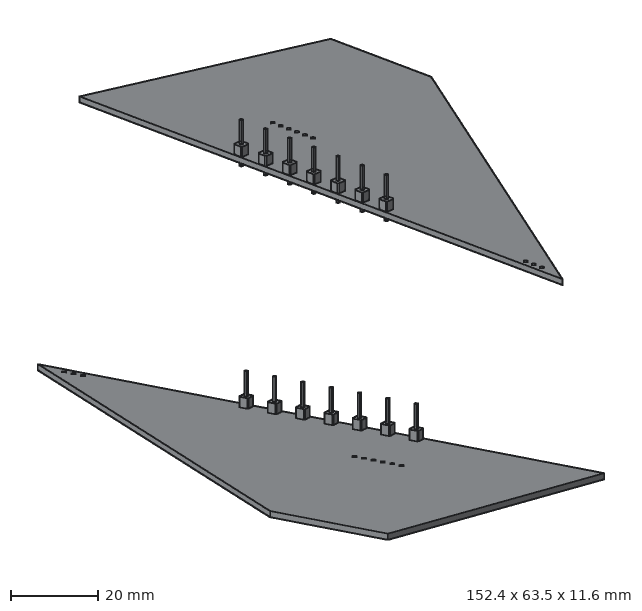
import cadquery as cq

pin_count = 7
pin_pitch = 7.6
pin_row_center = (72.5, 1.5)
wire_width = 0.64
wire_length = 11.6
wire_below_board = 1.42
collar_width = pin_pitch / 3
collar_height = collar_width
collar_corner_chamfer = 0.26

board_length = 152.4
board_width = 63.5
board_thickness = 1.5
short_edge_start_x = 19.4
short_edge_end_x = 51.0

hole_diameter = 1.0
hole_pitch = pin_pitch / 3
inner_row_count = 6
inner_row_center = (48.9, 19.5)
tip_row_count = 3
tip_row_center = (141.7, 1.7)


def row_points(center, count, pitch):
    """Evenly spaced points along X, centred on the given point."""
    center_x, center_y = center
    first_x = center_x - pitch * (count - 1) / 2
    return [(first_x + i * pitch, center_y) for i in range(count)]


pin_points = row_points(pin_row_center, pin_count, pin_pitch)
inner_row = row_points(inner_row_center, inner_row_count, hole_pitch)
tip_row = row_points(tip_row_center, tip_row_count, hole_pitch)


def make_board():
    """Plate from z = 0 up, with round holes and a square hole for each pin wire."""
    outline = [
        (0, 0),
        (board_length, 0),
        (short_edge_end_x, board_width),
        (short_edge_start_x, board_width),
    ]
    plate = cq.Workplane("XY").polyline(outline).close().extrude(board_thickness)
    round_holes = (
        cq.Workplane("XY")
        .pushPoints(inner_row + tip_row)
        .circle(hole_diameter / 2)
        .extrude(board_thickness)
    )
    wire_holes = (
        cq.Workplane("XY")
        .pushPoints(pin_points)
        .rect(wire_width, wire_width)
        .extrude(board_thickness)
    )
    return plate.cut(round_holes).cut(wire_holes)


def make_header_pin(x, y):
    """Square wire with a collar, chamfered at its upright corners, standing on the board."""
    wire = (
        cq.Workplane("XY", origin=(x, y, -wire_below_board))
        .rect(wire_width, wire_width)
        .extrude(wire_length)
    )
    collar = (
        cq.Workplane("XY", origin=(x, y, board_thickness))
        .rect(collar_width, collar_width)
        .extrude(collar_height)
        .edges("|Z")
        .chamfer(collar_corner_chamfer)
    )
    return collar.union(wire)


board = make_board()
header_pins = [make_header_pin(x, y) for x, y in pin_points]

result = cq.Compound.makeCompound([board.val(), *[pin.val() for pin in header_pins]])